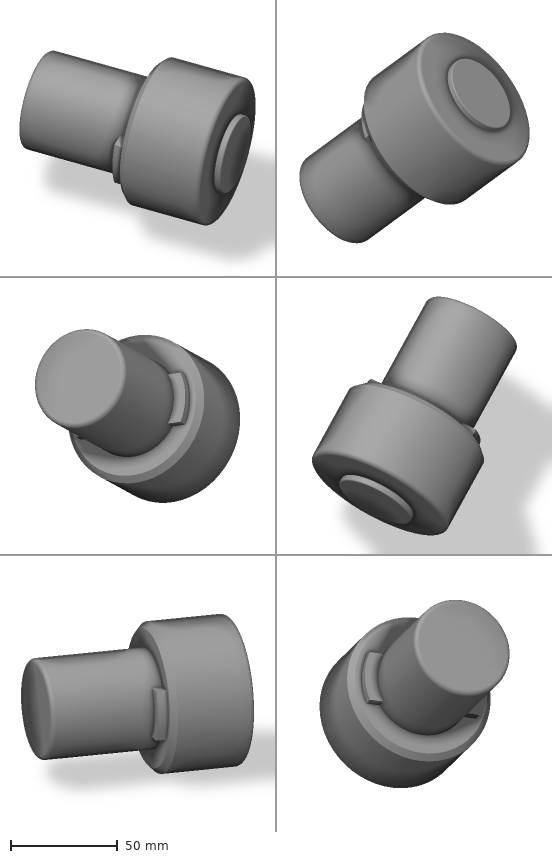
import cadquery as cq

total_length = 100.5
head_start = 55.4
head_end = 96.4
disc_start = 97.3

shank_radius = 24.0
head_radius = 36.0
neck_radius = 14.0
disc_radius = 18.9

shank_fillet = 2.1
head_chamfer = 2.9
head_fillet = 2.0
disc_fillet = 0.6
neck_fillet = 0.4

tab_outer_radius = 30.0
tab_width = shank_radius
tab_length = 5.0


def cylinder(start, end, radius):
    """Cylinder about the X axis between two X positions."""
    return cq.Workplane("YZ", origin=(start, 0, 0)).circle(radius).extrude(end - start)


def make_tabs():
    """Flat-sided bar with rounded ends; its middle lies inside the shank."""
    tab_start = head_start - tab_length
    round_blank = cylinder(tab_start, head_start, tab_outer_radius)
    bar = (
        cq.Workplane("YZ", origin=(tab_start, 0, 0))
        .rect(2 * tab_outer_radius, tab_width)
        .extrude(tab_length)
    )
    return round_blank.intersect(bar)


shank = cylinder(0, head_start, shank_radius).faces("<X").edges().fillet(shank_fillet)

head = cylinder(head_start, head_end, head_radius)
head = head.faces("<X").edges().chamfer(head_chamfer)
head = head.faces(">X").edges().fillet(head_fillet)

neck = cylinder(head_end, disc_start, neck_radius)
disc = cylinder(disc_start, total_length, disc_radius).edges("%CIRCLE").fillet(disc_fillet)
neck_corner = cq.selectors.BoxSelector(
    (disc_start - neck_fillet / 2, -neck_radius, -neck_radius),
    (disc_start + neck_fillet / 2, neck_radius, neck_radius),
)
end_button = neck.union(disc).edges(neck_corner).fillet(neck_fillet)

result = shank.union(make_tabs()).union(head).union(end_button)